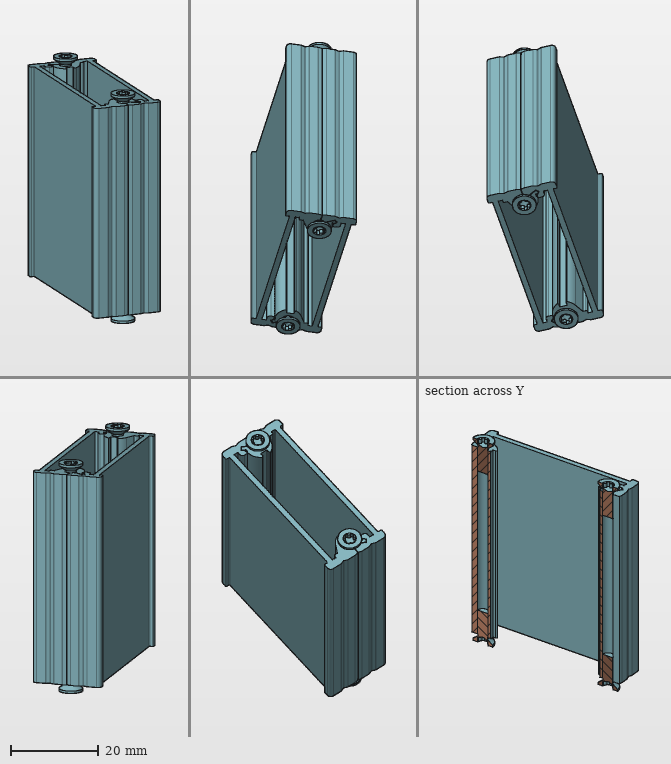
import cadquery as cq
import math

width = 41.6
depth = 16.4
total_height = 54.0

wall = 2.15
panel_thickness = 1.35
panel_recess = 0.95
corner_radius = 0.95
edge_radius = 0.2
groove_half_width = 0.95
groove_depth = 0.4
groove_y = 4.0
seam_groove_depth = 0.2

channel_x = 17.45
hole_radius = 1.35
arm_height = 3.15
arm_arc_offset = 0.7
notch_half_width = 0.85
notch_floor = 2.25
tip_x = 3.35
tip_chamfer = 0.3
arm_flank_x = 1.75
foot_angle = 240
foot_neck_radius = 3.0
foot_left = (-1.85, -3.25)
foot_bottom = (-1.25, -3.7)
foot_right = (-0.65, -3.2)
foot_notch_y = -2.9
foot_notch_left = -0.8
foot_notch_right = -0.05
clearance = 0.1

ledge_y = 4.85
hook_ledge_x = -0.45
hook_ledge_top = 3.85
hook_ledge_radius = 0.3
catch_x = 0.4
catch_radius = 0.75

head_radius = 2.75
rim_height = 0.6
cone_height = 1.15
neck_height = 0.4
shank_radius = hole_radius
shank_depth = 6.5
socket_radius = 1.5
socket_lobe_radius = 1.4
socket_depth = 1.2
socket_tip_depth = 0.55
socket_countersink = 0.2
socket_lobes = 6
socket_rib_radius = 0.45
socket_inner_radius = socket_radius - socket_rib_radius

head_height = rim_height + cone_height + neck_height
shell_height = total_height - 2 * head_height
half_width = width / 2
half_depth = depth / 2
inner_x = half_width - wall
arm_arc_radius = arm_height + arm_arc_offset
seam_angle = 180 + math.degrees(math.asin(clearance / hole_radius))


def in_channel(x, y):
    """Point given from the axis of the left screw channel."""
    return (x - channel_x, y)


def on_circle(radius, angle):
    """Point on a circle around the left screw channel."""
    a = math.radians(angle)
    return in_channel(radius * math.cos(a), radius * math.sin(a))


def arm_y(x):
    """Height of the round outer face of a channel arm."""
    return math.sqrt(arm_arc_radius**2 - x**2) - arm_arc_offset


def extrude_profile(sketch):
    return sketch.close().extrude(shell_height / 2, both=True)


def fillet_vertical_edge(body, point, radius):
    nearest = cq.selectors.NearestToPointSelector((point[0], point[1], 0))
    return body.edges("|Z").edges(nearest).fillet(radius)


def outer_face(side, seam_y):
    """Outer wall points from the seam to the corner; side is 1 towards +Y, -1 towards -Y."""
    return [
        (-half_width + seam_groove_depth, seam_y),
        (-half_width, side * groove_half_width),
        (-half_width, side * (groove_y - groove_half_width)),
        (-half_width + groove_depth, side * groove_y),
        (-half_width, side * (groove_y + groove_half_width)),
        (-half_width, side * half_depth),
        (-inner_x, side * half_depth),
        (-inner_x, side * ledge_y),
    ]


def round_outer_edges(body, side):
    """Round the corner, the groove edges and the rim of a left wall."""
    body = fillet_vertical_edge(body, (-half_width, side * half_depth), corner_radius)
    small_edges = [
        (-half_width, side * groove_half_width),
        (-half_width, side * (groove_y - groove_half_width)),
        (-half_width + groove_depth, side * groove_y),
        (-half_width, side * (groove_y + groove_half_width)),
        (-inner_x, side * half_depth),
    ]
    for point in small_edges:
        body = fillet_vertical_edge(body, point, edge_radius)
    return body


def make_foot_space():
    """The foot and its neck, grown by the clearance, to be cut from the catch wall."""
    outline = (
        cq.Workplane("XY")
        .moveTo(*on_circle(hole_radius, foot_angle))
        .lineTo(*on_circle(foot_neck_radius, foot_angle))
        .lineTo(*in_channel(*foot_left))
        .lineTo(*in_channel(*foot_bottom))
        .lineTo(*in_channel(*foot_right))
        .lineTo(*in_channel(foot_notch_left, foot_notch_y))
        .close()
        .offset2D(clearance)
    )
    return outline.extrude(shell_height / 2, both=True)


def make_hook_wall():
    """Left +Y wall with the screw channel and the foot that hooks into the other shell."""
    tip_y = arm_y(tip_x)
    arm_mid_x = (arm_flank_x + tip_x) / 2
    ledge_corner = in_channel(hook_ledge_x, ledge_y)
    profile = (
        cq.Workplane("XY")
        .polyline(outer_face(1, 0))
        .lineTo(*ledge_corner)
        .lineTo(*in_channel(hook_ledge_x, hook_ledge_top))
        .lineTo(*in_channel(arm_flank_x, arm_y(arm_flank_x)))
        .threePointArc(in_channel(arm_mid_x, arm_y(arm_mid_x)), in_channel(tip_x, tip_y))
        .lineTo(*in_channel(tip_x - tip_chamfer, notch_half_width))
        .lineTo(*in_channel(notch_floor, notch_half_width))
        .lineTo(*in_channel(notch_floor, -notch_half_width))
        .lineTo(*in_channel(tip_x - tip_chamfer, -notch_half_width))
        .lineTo(*in_channel(tip_x, -tip_y))
        .threePointArc(
            in_channel(arm_flank_x, -arm_y(arm_flank_x)),
            in_channel(foot_notch_right, -arm_y(foot_notch_right)),
        )
        .lineTo(*in_channel(foot_notch_right, foot_notch_y))
        .lineTo(*in_channel(foot_notch_left, foot_notch_y))
        .lineTo(*in_channel(*foot_right))
        .lineTo(*in_channel(*foot_bottom))
        .lineTo(*in_channel(*foot_left))
        .lineTo(*on_circle(foot_neck_radius, foot_angle))
        .lineTo(*on_circle(hole_radius, foot_angle))
        .threePointArc(on_circle(hole_radius, 0), on_circle(hole_radius, 180))
    )
    body = extrude_profile(profile)
    body = round_outer_edges(body, 1)
    return fillet_vertical_edge(body, ledge_corner, hook_ledge_radius)


def make_catch_wall():
    """Left -Y wall with the cradle and the pocket that hold the hooked foot."""
    ledge_corner = in_channel(catch_x, -ledge_y)
    profile = (
        cq.Workplane("XY")
        .polyline(outer_face(-1, -clearance))
        .lineTo(*ledge_corner)
        .lineTo(*in_channel(catch_x, foot_right[1]))
        .lineTo(*in_channel(*foot_right))
        .lineTo(*in_channel(*foot_bottom))
        .lineTo(*in_channel(*foot_left))
        .lineTo(*on_circle(foot_neck_radius, foot_angle))
        .lineTo(*on_circle(hole_radius, foot_angle))
        .threePointArc(on_circle(hole_radius, (foot_angle + 180) / 2), on_circle(hole_radius, seam_angle))
    )
    body = extrude_profile(profile)
    body = round_outer_edges(body, -1)
    return fillet_vertical_edge(body, ledge_corner, catch_radius).cut(make_foot_space())


def make_shell():
    """+Y half of the housing: hook wall at -X, flat panel, catch wall at +X."""
    panel_y = half_depth - panel_recess - panel_thickness / 2
    panel = cq.Workplane("XY").box(2 * inner_x, panel_thickness, shell_height)
    catch_wall = make_catch_wall().rotate((0, 0, 0), (0, 0, 1), 180)
    shell = make_hook_wall().union(panel.translate((0, panel_y, 0))).union(catch_wall).clean()
    for x in (-inner_x, inner_x):
        shell = fillet_vertical_edge(shell, (x, half_depth - panel_recess), edge_radius)
    return shell


def make_socket():
    """Six-lobed drive recess with a cone floor and a countersunk mouth, below z = 0."""
    recess = (
        cq.Workplane("XZ")
        .polyline([
            (0, 0),
            (socket_lobe_radius, 0),
            (socket_lobe_radius, -socket_depth),
            (0, -socket_depth - socket_tip_depth),
        ])
        .close()
        .revolve(360, (0, 0, 0), (0, 1, 0))
    )
    ribs = (
        cq.Workplane("XY")
        .polarArray(socket_radius, 360 / socket_lobes / 2, 360, socket_lobes)
        .circle(socket_rib_radius)
        .extrude(-socket_depth - socket_tip_depth)
    )
    mouth = (
        cq.Workplane("XZ")
        .polyline([
            (0, 0),
            (socket_radius, 0),
            (socket_inner_radius, -socket_countersink),
            (0, -socket_countersink),
        ])
        .close()
        .revolve(360, (0, 0, 0), (0, 1, 0))
    )
    return recess.cut(ribs).union(mouth)


def make_screw():
    """Screw pointing down, with the top of its head at z = 0."""
    cone_bottom = -rim_height - cone_height
    screw = (
        cq.Workplane("XZ")
        .polyline([
            (0, 0),
            (head_radius, 0),
            (head_radius, -rim_height),
            (shank_radius, cone_bottom),
            (shank_radius, -head_height - shank_depth),
            (0, -head_height - shank_depth),
        ])
        .close()
        .revolve(360, (0, 0, 0), (0, 1, 0))
    )
    return screw.cut(make_socket())


shell = make_shell()
shells = [shell.rotate((0, 0, 0), (0, 0, 1), angle) for angle in (0, 180)]

screws = []
for x in (-channel_x, channel_x):
    for flip in (0, 180):
        screw = make_screw().translate((0, 0, total_height / 2))
        screw = screw.rotate((0, 0, 0), (1, 0, 0), flip)
        screws.append(screw.translate((x, 0, 0)))

result = cq.Compound.makeCompound([body.solids().val() for body in shells + screws])